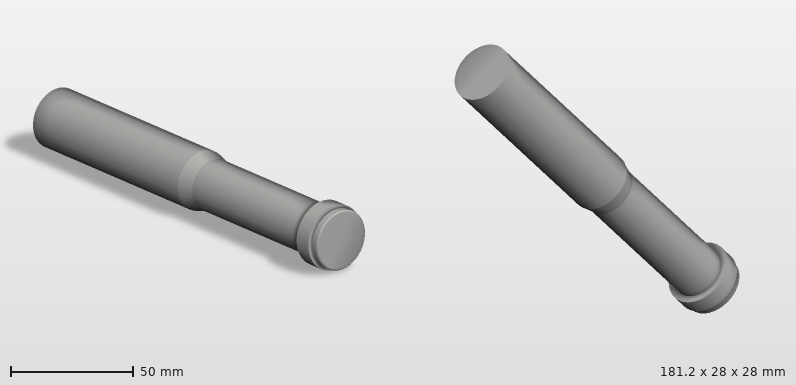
import cadquery as cq

total_length = 181.2
handle_length = 92.5
taper_length = 7.0
collar_start = 169.2
collar_width = 7.6
groove_width = 1.0
end_chamfer = 0.5

handle_diameter = 26.0
neck_diameter = 22.3
collar_diameter = 28.0
groove_diameter = 24.0
tip_diameter = handle_diameter

handle_radius = handle_diameter / 2
neck_radius = neck_diameter / 2
collar_radius = collar_diameter / 2
groove_radius = groove_diameter / 2
tip_radius = tip_diameter / 2

x_start = -total_length / 2
x_end = x_start + total_length
x_handle_end = x_start + handle_length
x_neck_start = x_handle_end + taper_length
x_collar_start = x_start + collar_start
x_collar_end = x_collar_start + collar_width
x_tip_start = x_collar_end + groove_width

profile = (
    cq.Workplane("XY")
    .moveTo(x_start, 0)
    .lineTo(x_start, handle_radius)
    .lineTo(x_handle_end, handle_radius)
    .lineTo(x_neck_start, neck_radius)
    .lineTo(x_collar_start, neck_radius)
    .lineTo(x_collar_start, collar_radius)
    .lineTo(x_collar_end, collar_radius)
    .lineTo(x_collar_end, groove_radius)
    .lineTo(x_tip_start, groove_radius)
    .lineTo(x_tip_start, tip_radius)
    .lineTo(x_end - end_chamfer, tip_radius)
    .lineTo(x_end, tip_radius - end_chamfer)
    .lineTo(x_end, 0)
    .close()
)

result = profile.revolve(360, (0, 0, 0), (1, 0, 0))